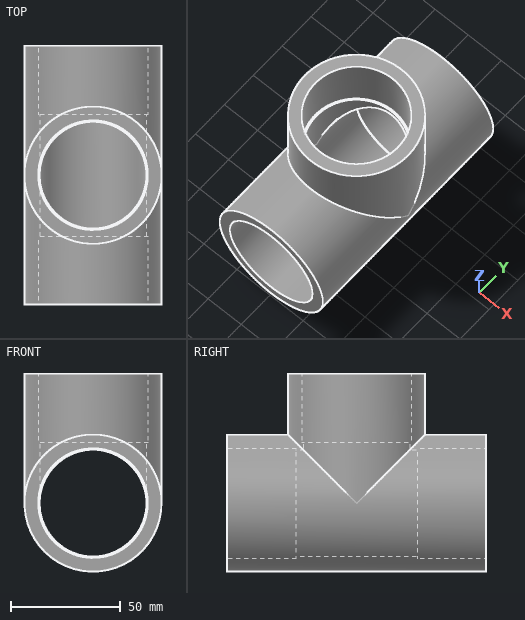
import cadquery as cq

run_length = 118.0
outer_diameter = 62.5
socket_diameter = 50.0
bore_diameter = 48.6
socket_depth = 31.3

arm_length = run_length / 2


def run_cylinder(diameter, length):
    """Cylinder along Y, centred on the crossing of the axes."""
    return cq.Workplane("XZ").circle(diameter / 2).extrude(length / 2, both=True)


def branch_cylinder(diameter, start, end):
    """Cylinder along Z between two heights above the run axis."""
    return cq.Workplane("XY").workplane(offset=start).circle(diameter / 2).extrude(end - start)


def run_socket(side):
    """Pipe socket in one end of the run; side is +1 or -1 along Y."""
    mouth = cq.Workplane("XZ", origin=(0, side * arm_length, 0))
    return mouth.circle(socket_diameter / 2).extrude(side * socket_depth)


body = run_cylinder(outer_diameter, run_length)
body = body.union(branch_cylinder(outer_diameter, 0, arm_length))

body = body.cut(run_cylinder(bore_diameter, run_length))
body = body.cut(branch_cylinder(bore_diameter, 0, arm_length))

for side in (-1, 1):
    body = body.cut(run_socket(side))
body = body.cut(branch_cylinder(socket_diameter, arm_length - socket_depth, arm_length))

result = body